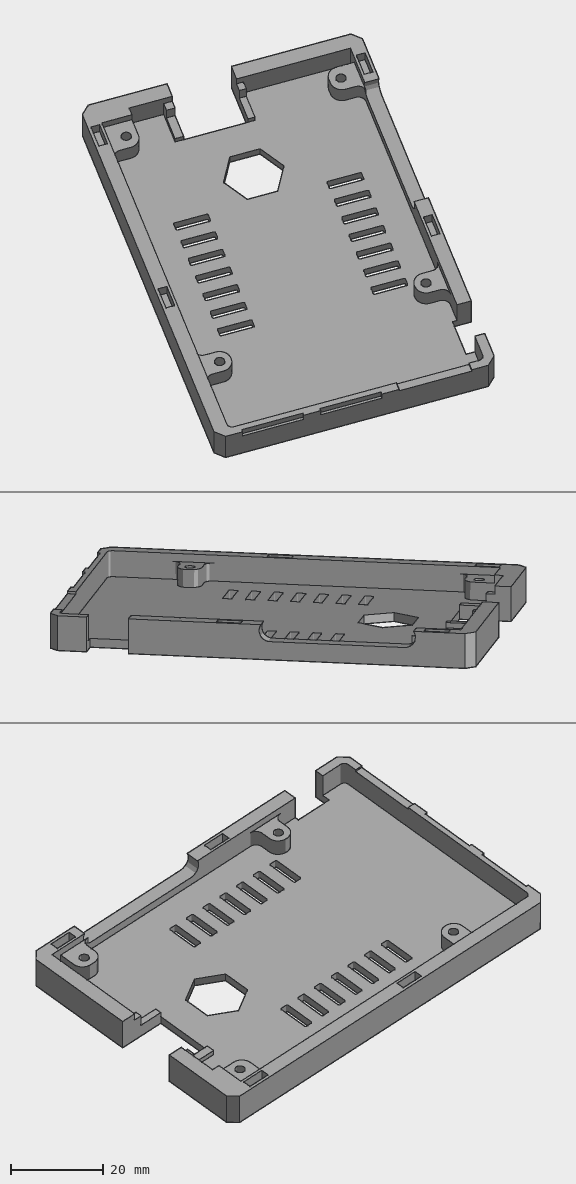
import cadquery as cq
import math


LENGTH = 94.0
WIDTH = 64.2
HEIGHT = 7.8
FLOOR = 2.0
CORNER_CHAMFER = 2.0

SIDE_WALL = 3.3
LEFT_WALL = 3.6
RIGHT_WALL = 1.9
THINNED_BACK_WALL = 2.3
INNER_CORNER_RADIUS = 1.2

OVERSHOOT = 1.0

HOLE_DIAMETER = 2.2
HOLE_LEFT_X = 9.35
HOLE_SPACING_X = 58.1
HOLE_SPACING_Y = 49.2
HOLE_FRONT_Y = 7.6
HOLE_BACK_Y = HOLE_FRONT_Y + HOLE_SPACING_Y
HOLE_BACK_RIGHT_X = HOLE_LEFT_X + HOLE_SPACING_X
HOLE_FRONT_RIGHT_X = 73.25
BOSS_TOP = 6.0
BOSS_NOSE_RADIUS = 2.6
BOSS_HALF_WIDTH = 2.7
LEFT_BOSS_HALF_WIDTH = 3.15
BOSS_BLEND_RADIUS = 1.8

CORNER_BLOCK_X = 5.5
CORNER_BLOCK_Y = HOLE_FRONT_Y + BOSS_NOSE_RADIUS

LEFT_NOTCH_DEPTH = 11.4
LEFT_NOTCH_FRONT_Y = 20.1
LEFT_NOTCH_BACK_Y = 34.8
FRONT_CHEEK_WIDTH = 2.0
BACK_CHEEK_WIDTH = 1.6
CHEEK_STEP_TOP = 6.0
CHEEK_TOP = 3.2

BACK_NOTCH_LEFT_X = 76.4
BACK_NOTCH_RIGHT_X = 85.6
BACK_NOTCH_DEPTH = 4.3

RECESS_LEFT_X = 13.0
RECESS_RIGHT_X = 47.5
RECESS_RADIUS = 2.4
RECESS_BOTTOM = 4.1

WIDE_RELIEF_DEPTH = 0.5
WIDE_RELIEF_Y = 50.1
WIDE_RELIEF_WIDTH = 16.6
NARROW_RELIEF_YS = (12.9, 30.8)
NARROW_RELIEF_WIDTH = 14.0
NARROW_RELIEF_THICKNESS = 0.6
NARROW_RELIEF_DEPTH = 1.5

POCKET_LENGTH = 5.4
POCKET_WIDTH = 2.0
POCKET_DEPTH = 2.5
POCKET_EDGE_DISTANCE = 0.7
POCKET_XS = (8.5, 54.4)

VENT_COUNT = 7
VENT_PITCH = 5.0
VENT_FIRST_X = 33.0
VENT_WIDTH = 2.0
VENT_LENGTH = 7.9
VENT_CORNER_RADIUS = 0.3
VENT_ROW_YS = (14.75, 49.9)
HEXAGON_FLATS = 12.0
HEXAGON_X = 25.0
HEXAGON_Y = 31.55


def box(x_range, y_range, z_range):
    """Box spanning the given (low, high) ranges."""
    lows, highs = zip(x_range, y_range, z_range)
    sizes = [high - low for low, high in zip(lows, highs)]
    return cq.Workplane("XY").box(*sizes, centered=False).translate(lows)


def make_tray():
    """Chamfered block hollowed from the top."""
    body = box((0, LENGTH), (0, WIDTH), (0, HEIGHT)).edges("|Z").chamfer(CORNER_CHAMFER)
    inner_right = LENGTH - RIGHT_WALL
    inner_back = WIDTH - SIDE_WALL
    depth_range = (FLOOR, HEIGHT + OVERSHOOT)
    cavity = box((LEFT_WALL, inner_right), (SIDE_WALL, inner_back), depth_range)
    thin_wall_cavity = box(
        (BACK_NOTCH_LEFT_X, inner_right), (inner_back - OVERSHOOT, WIDTH - THINNED_BACK_WALL), depth_range
    )
    cavity = cavity.union(thin_wall_cavity)
    cavity = cavity.edges("|Z and >X").fillet(INNER_CORNER_RADIUS)
    block = box((0, CORNER_BLOCK_X), (0, CORNER_BLOCK_Y), depth_range)
    return body.cut(cavity.cut(block))


def make_boss(x, wall_y, hole_y, half_width, blend_sides):
    """Round-nosed boss reaching from a wall past its hole, blended into the wall on the given sides."""
    inward = math.copysign(1, hole_y - wall_y)
    nose_y = hole_y + inward * BOSS_NOSE_RADIUS
    height_range = (FLOOR, BOSS_TOP)
    boss = box((x - half_width, x + half_width), sorted((wall_y, nose_y)), height_range)
    nose_edges = "|Z and >Y" if inward > 0 else "|Z and <Y"
    boss = boss.edges(nose_edges).fillet(BOSS_NOSE_RADIUS)
    for side in blend_sides:
        flank_x = x + side * half_width
        centre_x = flank_x + side * BOSS_BLEND_RADIUS
        centre_y = wall_y + inward * BOSS_BLEND_RADIUS
        blend = box(sorted((flank_x, centre_x)), sorted((wall_y, centre_y)), height_range)
        rounding = cq.Workplane("XY").center(centre_x, centre_y).circle(BOSS_BLEND_RADIUS).extrude(HEIGHT)
        boss = boss.union(blend.cut(rounding))
    return boss


def add_bosses(body):
    back_wall = WIDTH - SIDE_WALL
    bosses = (
        (HOLE_LEFT_X, SIDE_WALL, HOLE_FRONT_Y, LEFT_BOSS_HALF_WIDTH, (1,)),
        (HOLE_FRONT_RIGHT_X, SIDE_WALL, HOLE_FRONT_Y, BOSS_HALF_WIDTH, (-1, 1)),
        (HOLE_LEFT_X, back_wall, HOLE_BACK_Y, LEFT_BOSS_HALF_WIDTH, (1,)),
        (HOLE_BACK_RIGHT_X, back_wall, HOLE_BACK_Y, BOSS_HALF_WIDTH, (-1, 1)),
    )
    for x, wall_y, hole_y, half_width, blend_sides in bosses:
        body = body.union(make_boss(x, wall_y, hole_y, half_width, blend_sides))
    filler = box((LEFT_WALL, HOLE_LEFT_X), (SIDE_WALL, CORNER_BLOCK_Y), (FLOOR, BOSS_TOP))
    body = body.union(filler)
    centres = [(x, hole_y) for x, _, hole_y, _, _ in bosses]
    holes = cq.Workplane("XY").pushPoints(centres).circle(HOLE_DIAMETER / 2).extrude(HEIGHT)
    return body.cut(holes)


def cut_left_notch(body):
    cheek_y = (LEFT_NOTCH_FRONT_Y - FRONT_CHEEK_WIDTH, LEFT_NOTCH_BACK_Y + BACK_CHEEK_WIDTH)
    body = body.union(box((LEFT_WALL, CORNER_BLOCK_X), cheek_y, (0, CHEEK_STEP_TOP)))
    body = body.union(box((LEFT_WALL, LEFT_NOTCH_DEPTH), cheek_y, (0, CHEEK_TOP)))
    notch_y = (LEFT_NOTCH_FRONT_Y, LEFT_NOTCH_BACK_Y)
    return body.cut(box((-OVERSHOOT, LEFT_NOTCH_DEPTH), notch_y, (-OVERSHOOT, HEIGHT + OVERSHOOT)))


def cut_back_notch(body):
    notch_x = (BACK_NOTCH_LEFT_X, BACK_NOTCH_RIGHT_X)
    notch_y = (WIDTH - BACK_NOTCH_DEPTH, WIDTH + OVERSHOOT)
    return body.cut(box(notch_x, notch_y, (-OVERSHOOT, HEIGHT + OVERSHOOT)))


def cut_back_recess(body):
    length = RECESS_RIGHT_X - RECESS_LEFT_X
    centre = ((RECESS_LEFT_X + RECESS_RIGHT_X) / 2, RECESS_BOTTOM + RECESS_RADIUS)
    slot = (
        cq.Workplane("XZ", origin=(0, WIDTH, 0))
        .center(*centre)
        .slot2D(length, 2 * RECESS_RADIUS)
        .extrude(SIDE_WALL)
    )
    return body.cut(slot)


def cut_right_reliefs(body):
    narrow_size = (NARROW_RELIEF_WIDTH, NARROW_RELIEF_THICKNESS, NARROW_RELIEF_DEPTH)
    reliefs = [(WIDE_RELIEF_Y, WIDE_RELIEF_WIDTH, RIGHT_WALL, WIDE_RELIEF_DEPTH)]
    reliefs += [(y, *narrow_size) for y in NARROW_RELIEF_YS]
    for y, width, thickness, depth in reliefs:
        relief_x = (LENGTH - thickness, LENGTH + OVERSHOOT)
        relief_z = (HEIGHT - depth, HEIGHT + OVERSHOOT)
        body = body.cut(box(relief_x, (y - width / 2, y + width / 2), relief_z))
    return body


def cut_latch_pockets(body):
    edge_offset = POCKET_EDGE_DISTANCE + POCKET_WIDTH / 2
    centres = [(x, y) for x in POCKET_XS for y in (edge_offset, WIDTH - edge_offset)]
    pockets = (
        cq.Workplane("XY", origin=(0, 0, HEIGHT - POCKET_DEPTH))
        .pushPoints(centres)
        .rect(POCKET_LENGTH, POCKET_WIDTH)
        .extrude(POCKET_DEPTH)
    )
    return body.cut(pockets)


def cut_floor_openings(body):
    centres = [(VENT_FIRST_X + i * VENT_PITCH, y) for i in range(VENT_COUNT) for y in VENT_ROW_YS]
    vents = cq.Workplane("XY").pushPoints(centres).rect(VENT_WIDTH, VENT_LENGTH).extrude(FLOOR)
    vents = vents.edges("|Z").fillet(VENT_CORNER_RADIUS)
    across_corners = HEXAGON_FLATS / math.cos(math.pi / 6)
    hexagon = cq.Workplane("XY").polygon(6, across_corners).extrude(FLOOR)
    hexagon = hexagon.rotate((0, 0, 0), (0, 0, 1), 30).translate((HEXAGON_X, HEXAGON_Y, 0))
    return body.cut(vents).cut(hexagon)


body = make_tray()
body = add_bosses(body)
body = cut_left_notch(body)
body = cut_back_notch(body)
body = cut_back_recess(body)
body = cut_right_reliefs(body)
body = cut_latch_pockets(body)
result = cut_floor_openings(body)